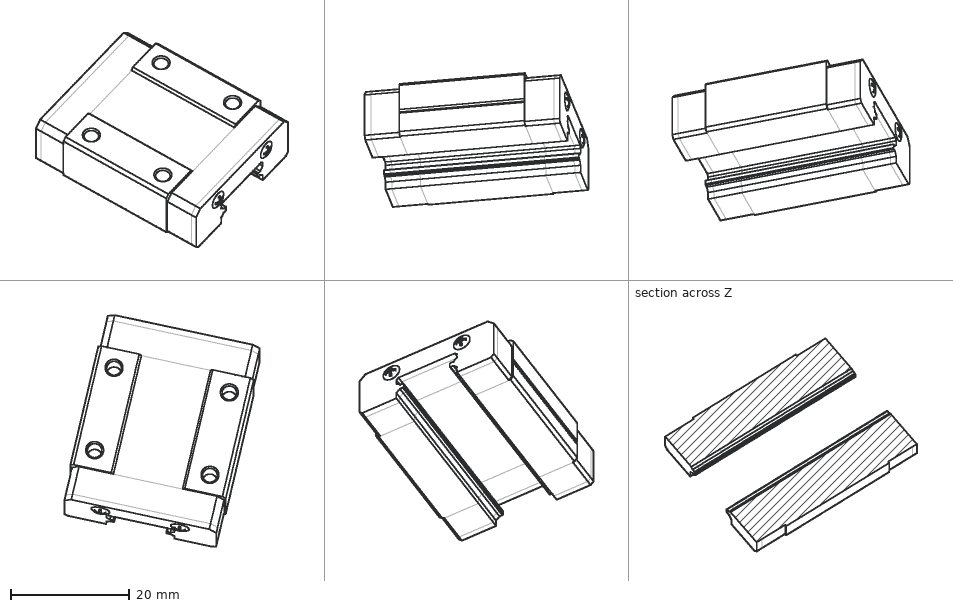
import cadquery as cq
import math

LENGTH = 34.68
WIDTH = 27.0
HEIGHT = 10.0

BLOCK_LENGTH = 21.6
EDGE_CHAMFER = 0.6
RECESS_FLOOR_HALF_WIDTH = 6.0
RECESS_TOP_HALF_WIDTH = 6.38

BODY_LENGTH = 33.65
CAP_WIDTH = 26.4
CAP_HEIGHT = 9.5
CAP_TOP_CHAMFER = 1.2
PLATE_THICKNESS = 1.05

CHANNEL_HALF_WIDTH = 5.93
CHANNEL_HEIGHT = 5.0
CHANNEL_CHAMFER = 0.4
RIDGE_MID_Z = 2.53
RIDGE_ROOT_HALF_HEIGHT = 1.18
RIDGE_TIP_HALF_HEIGHT = 0.52
RIDGE_SHOULDER_Y = 5.25
RIDGE_TIP_Y = 4.5
RIDGE_TIP_CHAMFER = 0.17

GROOVE_Z = 4.45
GROOVE_HALF_WIDTH = 0.35
GROOVE_DEPTH = 0.28

HOLE_SPACING_X = 15.0
HOLE_SPACING_Y = 20.0
HOLE_DIAMETER = 2.45
HOLE_MOUTH_DIAMETER = 3.0
HOLE_DEPTH = 3.47
DRILL_POINT_ANGLE = 118.0

SCREW_SPACING_Y = 13.8
SCREW_Z = 7.0
SCREW_DIAMETER = 3.2
SCREW_HEAD_HEIGHT = (LENGTH - BODY_LENGTH) / 2
CROSS_LENGTH = 1.95
CROSS_WIDTH = 0.38
CROSS_DEPTH = 0.35


def mirrored_outline(half):
    """Close a half outline (y >= 0) with its mirror image."""
    return half + [(-y, z) for y, z in reversed(half)]


def extrude_along_x(outline, x_start, x_end):
    """Prism with a YZ outline between two X positions."""
    return cq.Workplane("YZ", origin=(x_start, 0, 0)).polyline(outline).close().extrude(x_end - x_start)


def body_outline(width, height, top_chamfer):
    """Rectangular section with chamfered top and bottom corners."""
    half_width = width / 2
    return [
        (half_width - EDGE_CHAMFER, 0),
        (half_width, EDGE_CHAMFER),
        (half_width, height - top_chamfer),
        (half_width - top_chamfer, height),
    ]


def make_block():
    """Central block with a recessed top and a reference groove."""
    half = body_outline(WIDTH, HEIGHT, EDGE_CHAMFER)
    half += [(RECESS_TOP_HALF_WIDTH, HEIGHT), (RECESS_FLOOR_HALF_WIDTH, CAP_HEIGHT)]
    x_end = BLOCK_LENGTH / 2
    block = extrude_along_x(mirrored_outline(half), -x_end, x_end)

    groove = [
        (WIDTH / 2, GROOVE_Z - GROOVE_HALF_WIDTH),
        (WIDTH / 2 - GROOVE_DEPTH, GROOVE_Z),
        (WIDTH / 2, GROOVE_Z + GROOVE_HALF_WIDTH),
    ]
    return block.cut(extrude_along_x(groove, -x_end, x_end))


def make_channel():
    """Solid that clears the rail channel, leaving the two ridges."""
    half = [
        (CHANNEL_HALF_WIDTH, 0),
        (CHANNEL_HALF_WIDTH, RIDGE_MID_Z - RIDGE_ROOT_HALF_HEIGHT),
        (RIDGE_SHOULDER_Y, RIDGE_MID_Z - RIDGE_TIP_HALF_HEIGHT),
        (RIDGE_TIP_Y + RIDGE_TIP_CHAMFER, RIDGE_MID_Z - RIDGE_TIP_HALF_HEIGHT),
        (RIDGE_TIP_Y, RIDGE_MID_Z - RIDGE_TIP_HALF_HEIGHT + RIDGE_TIP_CHAMFER),
        (RIDGE_TIP_Y, RIDGE_MID_Z + RIDGE_TIP_HALF_HEIGHT - RIDGE_TIP_CHAMFER),
        (RIDGE_TIP_Y + RIDGE_TIP_CHAMFER, RIDGE_MID_Z + RIDGE_TIP_HALF_HEIGHT),
        (RIDGE_SHOULDER_Y, RIDGE_MID_Z + RIDGE_TIP_HALF_HEIGHT),
        (CHANNEL_HALF_WIDTH, RIDGE_MID_Z + RIDGE_ROOT_HALF_HEIGHT),
        (CHANNEL_HALF_WIDTH, CHANNEL_HEIGHT - CHANNEL_CHAMFER),
        (CHANNEL_HALF_WIDTH - CHANNEL_CHAMFER, CHANNEL_HEIGHT),
    ]
    return extrude_along_x(mirrored_outline(half), -BODY_LENGTH / 2, BODY_LENGTH / 2)


def make_mounting_hole():
    """Blind hole with a chamfered mouth and a drill point, opening at the origin."""
    radius = HOLE_DIAMETER / 2
    mouth_radius = HOLE_MOUTH_DIAMETER / 2
    mouth_depth = mouth_radius - radius
    point_depth = radius / math.tan(math.radians(DRILL_POINT_ANGLE / 2))
    profile = [
        (0, 0),
        (mouth_radius, 0),
        (radius, -mouth_depth),
        (radius, -HOLE_DEPTH),
        (0, -HOLE_DEPTH - point_depth),
    ]
    return cq.Workplane("XZ").polyline(profile).close().revolve(360, (0, 0, 0), (0, 1, 0))


def make_screw_head():
    """Domed head on the YZ plane at the origin, facing +X."""
    radius = SCREW_DIAMETER / 2
    corner_radius = CROSS_WIDTH / math.sqrt(2)
    dome_center_x = (SCREW_HEAD_HEIGHT**2 + corner_radius**2 - radius**2) / (2 * SCREW_HEAD_HEIGHT)
    dome_radius = math.hypot(radius, dome_center_x)
    half_angle = math.asin(radius / dome_radius) / 2
    dome_middle = (dome_center_x + dome_radius * math.cos(half_angle), dome_radius * math.sin(half_angle))
    dome_top = (dome_center_x + dome_radius, 0)
    head = (
        cq.Workplane("XY")
        .lineTo(0, radius)
        .threePointArc(dome_middle, dome_top)
        .close()
        .revolve(360, (0, 0, 0), (1, 0, 0))
    )
    cross_floor = cq.Workplane("YZ", origin=(SCREW_HEAD_HEIGHT - CROSS_DEPTH, 0, 0))
    for size_y, size_z in ((CROSS_LENGTH, CROSS_WIDTH), (CROSS_WIDTH, CROSS_LENGTH)):
        head = head.cut(cross_floor.rect(size_y, size_z).extrude(2 * CROSS_DEPTH))
    return head


channel = make_channel()
result = make_block().cut(channel)
cap_outline = mirrored_outline(body_outline(CAP_WIDTH, CAP_HEIGHT, CAP_TOP_CHAMFER))
seams = [BLOCK_LENGTH / 2, BODY_LENGTH / 2 - PLATE_THICKNESS, BODY_LENGTH / 2]
for side in (-1, 1):
    for inner, outer in zip(seams, seams[1:]):
        end_piece = extrude_along_x(cap_outline, side * inner, side * outer).cut(channel)
        result = result.union(end_piece, clean=False)

for x in (-HOLE_SPACING_X / 2, HOLE_SPACING_X / 2):
    for y in (-HOLE_SPACING_Y / 2, HOLE_SPACING_Y / 2):
        result = result.cut(make_mounting_hole().translate((x, y, HEIGHT)), clean=False)

for turn in (0, 180):
    for y in (-SCREW_SPACING_Y / 2, SCREW_SPACING_Y / 2):
        screw = make_screw_head().translate((BODY_LENGTH / 2, y, SCREW_Z))
        result = result.union(screw.rotate((0, 0, 0), (0, 0, 1), turn), clean=False)